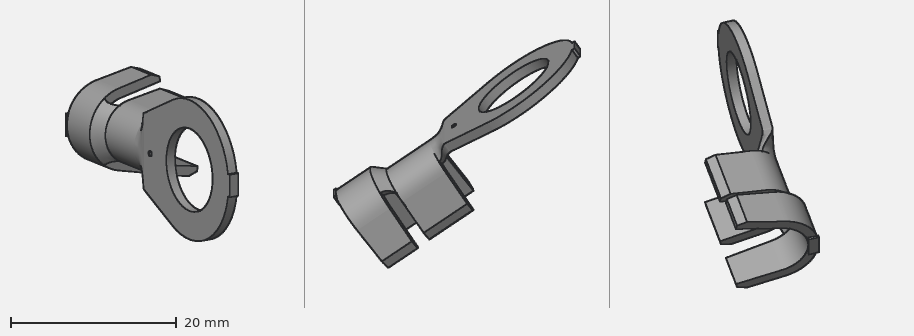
import cadquery as cq
import math


THICKNESS = 1.27

RING_RADIUS = 8.72
HOLE_DIAMETER = 10.3
TONGUE_START = -10.15
TONGUE_HALF_WIDTH = 4.78
DIMPLE_X = -8.82
DIMPLE_DIAMETER = 0.65
DIMPLE_DEPTH = 0.1

TAB_WIDTH = 2.81
TAB_LENGTH = 0.25
OVERALL_LENGTH = 34.61
RIGHT_END = RING_RADIUS + TAB_LENGTH
LEFT_END = RIGHT_END - OVERALL_LENGTH

WIRE_START = LEFT_END + 6.89
WIRE_END = LEFT_END + 13.32
WIRE_RADIUS = 4.02
WIRE_BOTTOM = 0.0
WIRE_FLARE = 10.0
WIRE_TIP_Y = 9.14

INSULATION_START = LEFT_END + TAB_LENGTH
INSULATION_END = LEFT_END + 5.38
INSULATION_RADIUS = 5.25
INSULATION_BOTTOM = -THICKNESS
INSULATION_FLARE = 12.5
INSULATION_TIP_Y = 8.87
END_SLANT = 4.55

BEVEL_LENGTH = 1.12
BEVEL_DEPTH = THICKNESS / 2

NECK_ANGLE_INSULATION = 53.0
NECK_ANGLE_MIDDLE = 52.5
NECK_ANGLE_WIRE = 61.0
NECK_ANGLE_TONGUE = 58.0
TRANSITION_STEPS = 4


def section_plane(x):
    """Plane across the terminal: local x is +Y, local y is +Z, extruding toward +X."""
    return cq.Workplane(cq.Plane(origin=(x, 0, 0), xDir=(0, 1, 0), normal=(1, 0, 0)))


def block(x_min, x_max, y_min, y_max, width):
    """Box centred on Z = 0."""
    size = (x_max - x_min, y_max - y_min, width)
    return cq.Workplane("XY").box(*size, centered=(False, False, True)).translate((x_min, y_min, 0))


def barrel(x_start, x_end, radius, bottom, flare, tip_y):
    """Open U-shaped barrel with straight flared arms and bevelled tips."""
    sin_flare = math.sin(math.radians(flare))
    cos_flare = math.cos(math.radians(flare))
    axis_y = bottom + radius

    def arm_point(along, depth):
        """Point on the +Z arm: distance past the bend, and depth below the outer face."""
        y = axis_y - (radius - depth) * sin_flare + along * cos_flare
        z = (radius - depth) * cos_flare + along * sin_flare
        return y, z

    inner_bend = arm_point(0, THICKNESS)
    arm_length = (tip_y - inner_bend[0]) / cos_flare
    arm = [
        arm_point(0, 0),
        arm_point(arm_length - BEVEL_LENGTH, 0),
        arm_point(arm_length, BEVEL_DEPTH),
        arm_point(arm_length, THICKNESS),
        inner_bend,
    ]
    mirrored_arm = [(y, -z) for y, z in reversed(arm)]

    profile = section_plane(x_start).moveTo(*arm[0])
    for point in arm[1:]:
        profile = profile.lineTo(*point)
    profile = profile.threePointArc((bottom + THICKNESS, 0), mirrored_arm[0])
    for point in mirrored_arm[1:]:
        profile = profile.lineTo(*point)
    profile = profile.threePointArc((bottom, 0), arm[0])
    return profile.close().extrude(x_end - x_start)


def strip_wire(x, bottom, outer_edge, inner_edge):
    """Curved strip section given by its bottom and its +Z edge points; flat if the edge is level."""
    start = cq.Vector(x, *outer_edge)
    end = cq.Vector(x, outer_edge[0], -outer_edge[1])
    inner_start = cq.Vector(x, *inner_edge)
    inner_end = cq.Vector(x, inner_edge[0], -inner_edge[1])
    if math.isclose(outer_edge[0], bottom):
        outer = cq.Edge.makeLine(start, end)
        inner = cq.Edge.makeLine(inner_end, inner_start)
    else:
        outer = cq.Edge.makeThreePointArc(start, cq.Vector(x, bottom, 0), end)
        inner_middle = cq.Vector(x, bottom + THICKNESS, 0)
        inner = cq.Edge.makeThreePointArc(inner_end, inner_middle, inner_start)
    lower_side = cq.Edge.makeLine(end, inner_end)
    upper_side = cq.Edge.makeLine(inner_start, start)
    return cq.Wire.assembleEdges([outer, lower_side, inner, upper_side])


def radial_edge(radius, bottom, half_angle):
    """Outer and inner (y, z) edge points of a strip bent to the given radius."""
    angle = math.radians(half_angle)
    axis_y = bottom + radius
    points = []
    for r in (radius, radius - THICKNESS):
        points.append((axis_y - r * math.cos(angle), r * math.sin(angle)))
    return points


def middle(a, b):
    return (a + b) / 2


def barrel_neck():
    """Tapered neck with waisted edges between the two barrels."""
    stations = [
        (INSULATION_END, INSULATION_RADIUS, INSULATION_BOTTOM, NECK_ANGLE_INSULATION),
        (
            middle(INSULATION_END, WIRE_START),
            middle(INSULATION_RADIUS, WIRE_RADIUS),
            middle(INSULATION_BOTTOM, WIRE_BOTTOM),
            NECK_ANGLE_MIDDLE,
        ),
        (WIRE_START, WIRE_RADIUS, WIRE_BOTTOM, NECK_ANGLE_WIRE),
    ]
    wires = []
    for x, radius, bottom, half_angle in stations:
        wires.append(strip_wire(x, bottom, *radial_edge(radius, bottom, half_angle)))
    return cq.Workplane(cq.Solid.makeLoft(wires, False))


def tongue_neck():
    """Neck that flattens from the wire barrel into the tongue, its edges following an S-curve."""
    bent_edges = radial_edge(WIRE_RADIUS, WIRE_BOTTOM, NECK_ANGLE_TONGUE)
    flat_edges = [(0.0, TONGUE_HALF_WIDTH), (THICKNESS, TONGUE_HALF_WIDTH)]
    wires = []
    for step in range(TRANSITION_STEPS + 1):
        fraction = step / TRANSITION_STEPS
        blend = fraction**2 * (3 - 2 * fraction)
        edges = []
        for bent, flat in zip(bent_edges, flat_edges):
            edges.append(tuple(b + blend * (f - b) for b, f in zip(bent, flat)))
        x = WIRE_END + fraction * (TONGUE_START - WIRE_END)
        wires.append(strip_wire(x, WIRE_BOTTOM, *edges))
    return cq.Workplane(cq.Solid.makeLoft(wires, False))


def tongue():
    """Flat tongue whose straight sides run tangent into the ring, with hole and dimple."""
    corner_distance = math.hypot(TONGUE_START, TONGUE_HALF_WIDTH)
    corner_angle = math.atan2(TONGUE_HALF_WIDTH, TONGUE_START)
    tangent_angle = corner_angle - math.acos(RING_RADIUS / corner_distance)
    tangent_x = RING_RADIUS * math.cos(tangent_angle)
    tangent_z = RING_RADIUS * math.sin(tangent_angle)

    plate = (
        cq.Workplane("XZ")
        .moveTo(TONGUE_START, -TONGUE_HALF_WIDTH)
        .lineTo(tangent_x, -tangent_z)
        .threePointArc((RING_RADIUS, 0), (tangent_x, tangent_z))
        .lineTo(TONGUE_START, TONGUE_HALF_WIDTH)
        .close()
        .extrude(-THICKNESS)
    )
    plate = plate.union(block(0, RIGHT_END, 0, THICKNESS, TAB_WIDTH))
    hole = cq.Workplane("XZ").circle(HOLE_DIAMETER / 2).extrude(-THICKNESS)
    dimple = cq.Workplane("XZ").center(DIMPLE_X, 0).circle(DIMPLE_DIAMETER / 2).extrude(-DIMPLE_DEPTH)
    return plate.cut(hole).cut(dimple)


def wire_barrel():
    return barrel(WIRE_START, WIRE_END, WIRE_RADIUS, WIRE_BOTTOM, WIRE_FLARE, WIRE_TIP_Y)


def insulation_barrel():
    """Barrel with a slanted open end and the carrier tab at its bottom."""
    body = barrel(
        INSULATION_START,
        INSULATION_END,
        INSULATION_RADIUS,
        INSULATION_BOTTOM,
        INSULATION_FLARE,
        INSULATION_TIP_Y,
    )
    slope = math.tan(math.radians(END_SLANT))
    slant_height = INSULATION_TIP_Y - INSULATION_BOTTOM
    waste = (
        cq.Workplane("XY")
        .moveTo(INSULATION_START, INSULATION_BOTTOM)
        .lineTo(INSULATION_START + slope * slant_height, INSULATION_TIP_Y)
        .lineTo(INSULATION_START, INSULATION_TIP_Y)
        .close()
        .extrude(2 * RING_RADIUS, both=True)
    )
    tab_end = INSULATION_START + slope * THICKNESS
    tab = block(LEFT_END, tab_end, INSULATION_BOTTOM, INSULATION_BOTTOM + THICKNESS, TAB_WIDTH)
    return body.cut(waste).union(tab)


result = (
    tongue()
    .union(tongue_neck())
    .union(wire_barrel())
    .union(barrel_neck())
    .union(insulation_barrel())
)